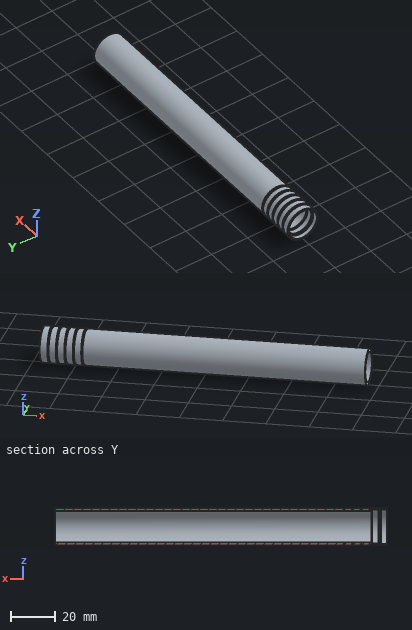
import cadquery as cq

length = 150.4
outer_diameter = 17.0
bore_diameter = 14.0
rim_diameter = 16.7
edge_chamfer = (outer_diameter - rim_diameter) / 2

groove_count = 5
groove_floor_diameter = 16.0
groove_width = 0.8
groove_floor_width = 0.3
groove_pitch = 3.9
first_groove_center = 3.9

mouth_diameter = 15.5
mouth_depth = 2.5
recess_diameter = 15.2
recess_start = 3.3
recess_end = 6.8
shoulder_length = 0.3


def cylinder(diameter, start, end):
    """Solid cylinder on the X axis between two X positions."""
    return cq.Workplane("YZ", origin=(start, 0, 0)).circle(diameter / 2).extrude(end - start)


def socket(diameter, start, end):
    """Round pocket that ends in a cone down to the bore diameter."""
    cone_end = end + shoulder_length
    corners = [
        (start, 0),
        (start, diameter / 2),
        (end, diameter / 2),
        (cone_end, bore_diameter / 2),
        (cone_end, 0),
    ]
    profile = cq.Workplane("XY").polyline(corners).close()
    return profile.revolve(360, (0, 0, 0), (1, 0, 0))


def outer_groove(center):
    """Ring with a trapezoid section to remove from the outer surface."""
    rim_radius = outer_diameter / 2
    floor_radius = groove_floor_diameter / 2
    corners = [
        (center - groove_width / 2, rim_radius),
        (center - groove_floor_width / 2, floor_radius),
        (center + groove_floor_width / 2, floor_radius),
        (center + groove_width / 2, rim_radius),
    ]
    profile = cq.Workplane("XY").polyline(corners).close()
    return profile.revolve(360, (0, 0, 0), (1, 0, 0))


result = cylinder(outer_diameter, 0, length).faces("<X").chamfer(edge_chamfer)

result = result.cut(cylinder(bore_diameter, 0, length))
result = result.cut(socket(mouth_diameter, 0, mouth_depth))
result = result.cut(socket(recess_diameter, recess_start, recess_end))

for index in range(groove_count):
    result = result.cut(outer_groove(first_groove_center + index * groove_pitch))